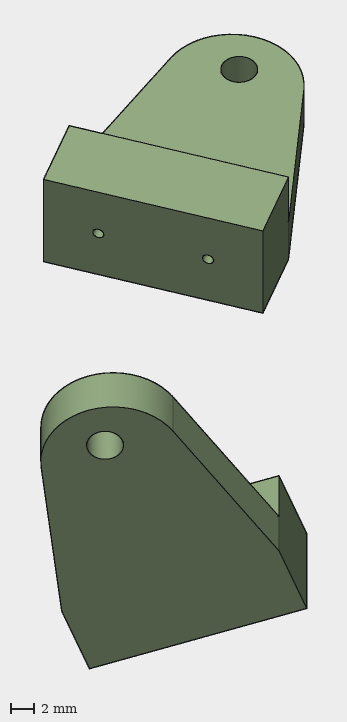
import cadquery as cq
import math

width = 20.05
length = 27.73
height = 10.0

block_depth = 7.02
tongue_thickness = 4.58
tip_radius = 6.27

pivot_diameter = 3.2
pivot_y = 23.5

screw_diameter = 1.0
screw_spacing = width / 2
screw_depth = 5.0


def make_block():
    return cq.Workplane("XY").box(width, block_depth, height, centered=(True, False, False))


def make_tongue():
    """Plate whose straight sides run tangent into the round tip."""
    half_width = width / 2
    tip_center_y = length - tip_radius
    run = tip_center_y - block_depth
    corner_angle = math.atan2(-run, half_width)
    corner_distance = math.hypot(run, half_width)
    tangent_angle = corner_angle + math.acos(tip_radius / corner_distance)
    tangent_x = tip_radius * math.cos(tangent_angle)
    tangent_y = tip_center_y + tip_radius * math.sin(tangent_angle)
    return (
        cq.Workplane("XY")
        .moveTo(-half_width, block_depth)
        .lineTo(half_width, block_depth)
        .lineTo(tangent_x, tangent_y)
        .threePointArc((0, length), (-tangent_x, tangent_y))
        .close()
        .extrude(tongue_thickness)
    )


def make_pivot_hole():
    return cq.Workplane("XY").center(0, pivot_y).circle(pivot_diameter / 2).extrude(tongue_thickness)


def make_screw_holes():
    return (
        cq.Workplane("XZ")
        .pushPoints([(side * screw_spacing / 2, height / 2) for side in (-1, 1)])
        .circle(screw_diameter / 2)
        .extrude(-screw_depth)
    )


result = make_block().union(make_tongue()).cut(make_pivot_hole()).cut(make_screw_holes())